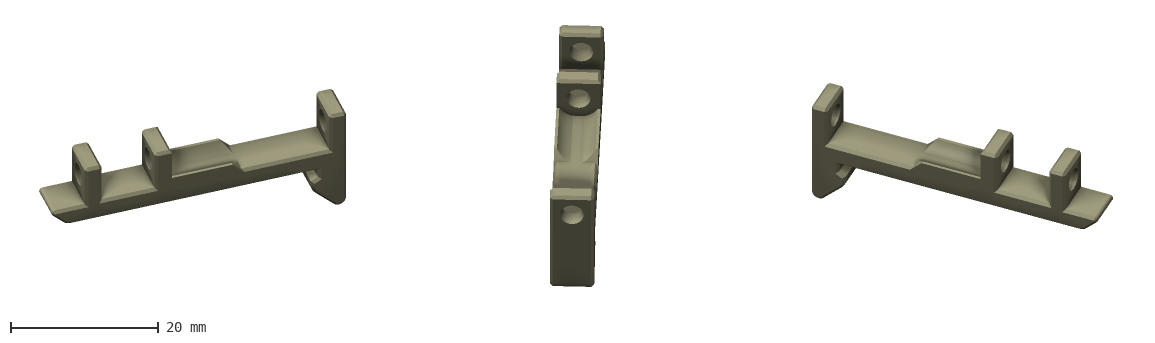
import cadquery as cq
import math

width = 6.0
half_width = width / 2
edge_chamfer = 0.4

post_height = 6.0
post_thickness = 2.4
rear_post_y = 0.0
middle_post_y = -25.0
front_post_y = -35.0
hole_diameter = 3.2
hole_height = post_height / 2

beam_top = 0.0
beam_bottom = -3.0
tongue_top = -0.2
tongue_end_y = -42.09
tongue_tip_radius = 0.5
tongue_heel_radius = 1.5

hook_stem_y = -4.0
hook_lip_y = -5.0
hook_ledge_z = -4.35
hook_ledge_angle = 30.0
hook_lip_radius = 2.0
hook_toe_radius = 1.0
total_height = 15.98
hook_bottom = post_height - total_height

saddle_foot_y = -15.0
saddle_rim_width = 0.4
groove_radius = 3.1
groove_axis_z = hole_height
groove_rim_x = half_width - saddle_rim_width
saddle_height = groove_axis_z - math.sqrt(groove_radius**2 - groove_rim_x**2)

DIAGONAL = math.sqrt(0.5)
TURN_TANGENT = math.tan(math.radians(22.5))


def arc_middle(center, radius, start_angle, end_angle):
    """Point halfway along an arc in the YZ plane."""
    angle = math.radians((start_angle + end_angle) / 2)
    return (center[0] + radius * math.cos(angle), center[1] + radius * math.sin(angle))


def diagonal_point(center, radius):
    """Point of an arc facing forward and down, where it meets a 45 degree line."""
    return (center[0] - radius * DIAGONAL, center[1] - radius * DIAGONAL)


def post_outline(sketch, rear_y, front_foot_z):
    """Run along the beam to one post, over it and down to its front foot."""
    front_y = rear_y - post_thickness
    if rear_y != rear_post_y:
        sketch = sketch.lineTo(rear_y, beam_top)
    return (
        sketch.lineTo(rear_y, post_height)
        .lineTo(front_y, post_height)
        .lineTo(front_y, front_foot_z)
    )


def tongue_outline(sketch):
    """Rounded tip, 45 degree underside and rounded heel of the tongue."""
    tip = (tongue_end_y + tongue_tip_radius, tongue_top - tongue_tip_radius)
    tip_end = diagonal_point(tip, tongue_tip_radius)
    corner_y = tip_end[0] + (tip_end[1] - beam_bottom)
    heel = (corner_y + tongue_heel_radius * TURN_TANGENT, beam_bottom + tongue_heel_radius)
    heel_start = diagonal_point(heel, tongue_heel_radius)
    return (
        sketch.lineTo(tip[0], tongue_top)
        .threePointArc(arc_middle(tip, tongue_tip_radius, 90, 225), tip_end)
        .lineTo(*heel_start)
        .threePointArc(arc_middle(heel, tongue_heel_radius, 225, 270), (heel[0], beam_bottom))
    )


def hook_outline(sketch):
    """Stem, sloping ledge, rounded lip, 45 degree lead-in and rounded toe of the hook."""
    ledge_drop = (hook_stem_y - hook_lip_y) * math.tan(math.radians(hook_ledge_angle))
    toe = (rear_post_y - hook_toe_radius, hook_bottom + hook_toe_radius)
    toe_start = diagonal_point(toe, hook_toe_radius)
    lip_y = hook_lip_y + hook_lip_radius
    lip_end_y = lip_y - hook_lip_radius * DIAGONAL
    lip_end = (lip_end_y, toe_start[1] + toe_start[0] - lip_end_y)
    lip = (lip_y, lip_end[1] + hook_lip_radius * DIAGONAL)
    return (
        sketch.lineTo(hook_stem_y, beam_bottom)
        .lineTo(hook_stem_y, hook_ledge_z)
        .lineTo(hook_lip_y, hook_ledge_z - ledge_drop)
        .lineTo(hook_lip_y, lip[1])
        .threePointArc(arc_middle(lip, hook_lip_radius, 180, 225), lip_end)
        .lineTo(*toe_start)
        .threePointArc(arc_middle(toe, hook_toe_radius, 225, 360), (rear_post_y, toe[1]))
    )


def make_body():
    """Beam, posts and hook as one outline extruded across the width."""
    sketch = cq.Workplane("YZ", origin=(-half_width, 0, 0)).moveTo(rear_post_y, beam_top)
    posts = ((rear_post_y, beam_top), (middle_post_y, beam_top), (front_post_y, tongue_top))
    for rear_y, front_foot_z in posts:
        sketch = post_outline(sketch, rear_y, front_foot_z)
    sketch = hook_outline(tongue_outline(sketch))
    return sketch.close().extrude(width)


def chamfer_edges(body):
    """Chamfer both side outlines and the post tops; the middle post stays sharp above the saddle."""
    sharp_edges = cq.selectors.BoxSelector(
        (-width, middle_post_y - edge_chamfer, edge_chamfer),
        (width, middle_post_y + edge_chamfer, post_height - edge_chamfer),
    )
    outline_edges = cq.selectors.StringSyntaxSelector("<X or >X")
    top_edges = cq.selectors.StringSyntaxSelector(">Z")
    return body.edges(outline_edges + top_edges - sharp_edges).chamfer(edge_chamfer)


def make_saddle():
    """Block with a 45 degree rear slope, sunk into the beam to fill its chamfers."""
    base_z = beam_top - edge_chamfer
    return (
        cq.Workplane("YZ", origin=(-half_width, 0, 0))
        .moveTo(saddle_foot_y - base_z, base_z)
        .lineTo(saddle_foot_y - saddle_height, saddle_height)
        .lineTo(middle_post_y, saddle_height)
        .lineTo(middle_post_y, base_z)
        .close()
        .extrude(width)
    )


def make_groove():
    """Round groove along the saddle, ending at the middle post and kept above the beam top."""
    length = saddle_foot_y - middle_post_y
    cylinder = (
        cq.Workplane("XZ", origin=(0, saddle_foot_y, groove_axis_z)).circle(groove_radius).extrude(length)
    )
    above_beam = cq.Workplane("XY", origin=(0, saddle_foot_y - length / 2, beam_top)).box(
        width, length, groove_axis_z, centered=(True, True, False)
    )
    return cylinder.intersect(above_beam)


def make_holes():
    """One straight bore through all three posts."""
    bore_length = rear_post_y - front_post_y + post_thickness
    return (
        cq.Workplane("XZ", origin=(0, rear_post_y, hole_height))
        .circle(hole_diameter / 2)
        .extrude(bore_length)
    )


body = chamfer_edges(make_body())
saddle = make_saddle().cut(make_groove())
result = body.union(saddle).cut(make_holes())